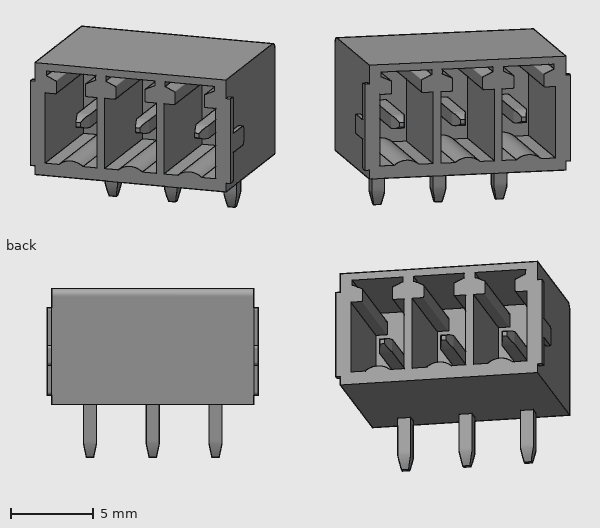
import cadquery as cq
import math

HOUSING_WIDTH = 12.25
HOUSING_DEPTH = 9.2
HOUSING_HEIGHT = 7.05
BACK_EDGE_RADIUS = 0.5

OVERALL_WIDTH = 12.82
RAIL_STRIP_DEPTH = 0.6
RAIL_STRIP_BOTTOM = 0.55
RAIL_STRIP_TOP = HOUSING_HEIGHT - 1.17
RAIL_ARM_DEPTH = 2.51
RAIL_ARM_BOTTOM = 2.37
RAIL_ARM_HEIGHT = 1.2
RAIL_CORNER_RADIUS = 0.19

POLE_COUNT = 3
POLE_PITCH = 3.81
BACK_WALL = 2.05
CAVITY_DEPTH = HOUSING_DEPTH - BACK_WALL
CAVITY_WIDTH = 3.32
CAVITY_FLOOR = 0.78
SHOULDER_Z = HOUSING_HEIGHT - 1.85
NECK_WIDTH = 1.87
NECK_TOP_Z = HOUSING_HEIGHT - 1.05
NECK_CORNER_RADIUS = 0.06
HEAD_SLOT_WIDTH = 3.15
HEAD_SLOT_BOTTOM_Z = HOUSING_HEIGHT - 0.75
CEILING_Z = HOUSING_HEIGHT - 0.46
FLOOR_BUMP_WIDTH = 1.54
FLOOR_BUMP_HEIGHT = 0.28

PIN_SIZE = 0.81
PIN_AXIS_Z = 3.0
PIN_TAIL_Y = HOUSING_DEPTH - 1.23
TAIL_LENGTH = 3.2
CONTACT_TIP_Y = 1.35
TAIL_FLAT_TAPER = 0.83
TAIL_CURVED_TAPER = 1.06
TAIL_TIP_WIDTH = 0.45
TAIL_TIP_THICKNESS = 0.32
CONTACT_FLAT_TAPER = 1.0
CONTACT_CURVED_TAPER = 1.18
CONTACT_TIP_SIZE = 0.28

POLE_CENTERS = [(i - (POLE_COUNT - 1) / 2) * POLE_PITCH for i in range(POLE_COUNT)]


def make_block():
    """Plain housing block with its rounded top back edge."""
    block = cq.Workplane("XY").box(
        HOUSING_WIDTH, HOUSING_DEPTH, HOUSING_HEIGHT, centered=(True, False, False)
    )
    return block.edges(">Y and >Z").fillet(BACK_EDGE_RADIUS)


def make_rail_plate(depth, bottom, height):
    """Plate across the full width, with its two back corners rounded."""
    plate = cq.Workplane("XY", origin=(0, 0, bottom)).box(
        OVERALL_WIDTH, depth, height, centered=(True, False, False)
    )
    return plate.edges("|X and >Y").fillet(RAIL_CORNER_RADIUS)


def make_rails():
    """T-shaped plates whose ends stand out of both side walls as rails."""
    strip = make_rail_plate(RAIL_STRIP_DEPTH, RAIL_STRIP_BOTTOM, RAIL_STRIP_TOP - RAIL_STRIP_BOTTOM)
    arm = make_rail_plate(RAIL_ARM_DEPTH, RAIL_ARM_BOTTOM, RAIL_ARM_HEIGHT)
    return strip.union(arm)


def make_cavity(center_x):
    """Keyed socket with a necked upper part and a rounded bump along its floor."""
    half_cavity = CAVITY_WIDTH / 2
    half_neck = NECK_WIDTH / 2
    half_slot = HEAD_SLOT_WIDTH / 2
    half_bump = FLOOR_BUMP_WIDTH / 2
    outline = (
        cq.Workplane("XZ", origin=(center_x, 0, 0))
        .moveTo(-half_cavity, CAVITY_FLOOR)
        .lineTo(-half_bump, CAVITY_FLOOR)
        .threePointArc((0, CAVITY_FLOOR + FLOOR_BUMP_HEIGHT), (half_bump, CAVITY_FLOOR))
        .lineTo(half_cavity, CAVITY_FLOOR)
        .lineTo(half_cavity, SHOULDER_Z)
        .lineTo(half_neck, SHOULDER_Z)
        .lineTo(half_neck, NECK_TOP_Z)
        .lineTo(half_slot, HEAD_SLOT_BOTTOM_Z)
        .lineTo(half_slot, CEILING_Z)
        .lineTo(-half_slot, CEILING_Z)
        .lineTo(-half_slot, HEAD_SLOT_BOTTOM_Z)
        .lineTo(-half_neck, NECK_TOP_Z)
        .lineTo(-half_neck, SHOULDER_Z)
        .lineTo(-half_cavity, SHOULDER_Z)
        .close()
    )
    cavity = outline.extrude(-CAVITY_DEPTH)
    neck_edges = cq.selectors.BoxSelector(
        (center_x - half_neck - NECK_CORNER_RADIUS, 0, SHOULDER_Z - NECK_CORNER_RADIUS),
        (center_x + half_neck + NECK_CORNER_RADIUS, CAVITY_DEPTH, NECK_TOP_Z + NECK_CORNER_RADIUS),
    )
    return cavity.edges("|Y").edges(neck_edges).fillet(NECK_CORNER_RADIUS)


def make_bar(length, tip_x, tip_y, flat_taper, curved_taper):
    """Square bar along +Z; its tip narrows with flat faces in X and curved faces in Y."""
    half = PIN_SIZE / 2
    flat_start = length - flat_taper
    flat_profile = (
        cq.Workplane("XZ")
        .moveTo(-half, 0)
        .lineTo(half, 0)
        .lineTo(half, flat_start)
        .lineTo(tip_x / 2, length)
        .lineTo(-tip_x / 2, length)
        .lineTo(-half, flat_start)
        .close()
        .extrude(half, both=True)
    )

    curve_start = length - curved_taper
    inset = half - tip_y / 2
    radius = (curved_taper**2 + inset**2) / (2 * inset)
    mid_angle = math.asin(curved_taper / radius) / 2
    mid_y = half - radius * (1 - math.cos(mid_angle))
    mid_z = curve_start + radius * math.sin(mid_angle)
    curved_profile = (
        cq.Workplane("YZ")
        .moveTo(-half, 0)
        .lineTo(half, 0)
        .lineTo(half, curve_start)
        .threePointArc((mid_y, mid_z), (tip_y / 2, length))
        .lineTo(-tip_y / 2, length)
        .threePointArc((-mid_y, mid_z), (-half, curve_start))
        .close()
        .extrude(half, both=True)
    )
    return flat_profile.intersect(curved_profile)


def make_pin(center_x):
    """L-shaped pin: a tail pointing down and a contact pointing to the front."""
    tail_top = PIN_AXIS_Z + PIN_SIZE / 2
    tail = (
        make_bar(
            tail_top + TAIL_LENGTH, TAIL_TIP_WIDTH, TAIL_TIP_THICKNESS, TAIL_FLAT_TAPER, TAIL_CURVED_TAPER
        )
        .rotate((0, 0, 0), (1, 0, 0), 180)
        .translate((center_x, PIN_TAIL_Y, tail_top))
    )
    contact = (
        make_bar(
            PIN_TAIL_Y - CONTACT_TIP_Y,
            CONTACT_TIP_SIZE,
            CONTACT_TIP_SIZE,
            CONTACT_FLAT_TAPER,
            CONTACT_CURVED_TAPER,
        )
        .rotate((0, 0, 0), (1, 0, 0), 90)
        .translate((center_x, PIN_TAIL_Y, PIN_AXIS_Z))
    )
    return tail.union(contact).clean()


def make_housing(pins):
    """Housing with rails, one cavity per pole and a matching passage for each pin."""
    body = make_block().union(make_rails())
    for center_x in POLE_CENTERS:
        body = body.cut(make_cavity(center_x))
    for pin in pins:
        body = body.cut(pin)
    return body


contact_pins = [make_pin(center_x) for center_x in POLE_CENTERS]
housing = make_housing(contact_pins)

result = cq.Compound.makeCompound([housing.val(), *[pin.val() for pin in contact_pins]])